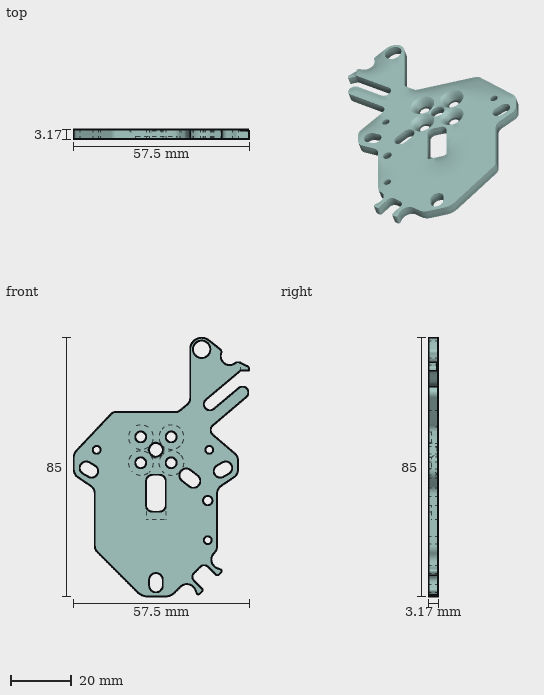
import cadquery as cq
import math


thickness = 3.17
top_z = 36.81
bottom_z = -48.2
ear_half_width = 27.0
body_half_width = 20.1
shoulder_z = 12.46
shoulder_left_x = -14.1
ear_top_z = {"left": -1.2, "right": -2.13}
ear_bottom_z = -8.1
waist_z = -12.72
lower_left_z = -32.65
bottom_left_x = -4.6
ear_radius = 3.2
waist_radius = 3.1
shoulder_radius = 2.0
lower_left_radius = 2.7
bottom_left_radius = 5.0
bottom_right_radius = 4.6
body_right_radius = 3.0

tab_hole = (15.0, 33.0)
tab_hole_diameter = 5.65
tab_radius = top_z - tab_hole[1]
tab_left_x = tab_hole[0] - tab_radius
arm_angle = 40.0
tab_slope = 38.5
tab_foot_z = 15.7
tab_foot_radius = 2.5
tab_notch_center = (24.2, 30.75)
tab_notch_radius = 2.9
notch_entry_radius = 1.2
notch_exit_radius = 1.5
beak_x = 30.55
beak_top_z = 27.2
beak_bottom_z = 26.03
beak_slope = 26.5
beak_top_radius = 0.7
beak_bottom_radius = 0.2
beak_root_radius = 0.6
arm_tip = (28.42, 18.83)
arm_half_width = 1.95
arm_slot_end = (17.72, 14.98)
arm_slot_half_width = 1.97
arm_root = (16.9, 6.48)
arm_root_radius = 2.0
beak_step_x = 27.6
beak_step_depth = 0.5

finger_origin = (13.56, -39.44)
finger_gap = 6.4
finger_length = 6.1
finger_root_radius = 1.7
finger_tip_radius = 0.6
finger_notch_radius = 3.0
finger_notch_offset = 7.83
finger_hook_angle = 25.0

center_hole_diameter = 4.45
center_countersink_depth = 0.4
bolt_pitch_x = 10.0
bolt_pitch_z = 8.5
bolt_hole_diameter = 3.5
bolt_countersink_depth = 2.3
countersink_angle = 90.0
small_hole_diameter = 2.5
small_holes = [(-19.46, 0.0), (17.5, 0.0), (17.0, -29.65)]
medium_hole = (17.0, -16.65)
medium_hole_diameter = 3.0
slots = [
    (-22.0, -6.48, 2.05, 4.2, 150.0),
    (22.0, -6.48, 2.05, 4.2, 30.0),
    (11.13, -9.3, 2.95, 4.45, 142.0),
    (0.0, -43.6, 1.85, 4.4, 90.0),
]
window_center_z = -14.25
window_width = 6.4
window_height = 12.0
window_corner_radius = 2.0
window_recess_depth = 2.2
window_recess_overhang = 2.5


def offset_point(point, distance, angle):
    """Point at a distance from another, in the direction of an angle in degrees."""
    turn = math.radians(angle)
    return (point[0] + distance * math.cos(turn), point[1] + distance * math.sin(turn))


def square_end(center, half_width, angle, first_side):
    """Two corners that round into a half circle about center, closing a strip along angle."""
    middle = offset_point(center, half_width, angle)
    return [
        (*offset_point(middle, half_width, angle + side * 90), half_width)
        for side in (first_side, -first_side)
    ]


def finger_point(along, outward):
    """Plate point from distances along (up right) and out of (down right) the diagonal edge."""
    on_edge = offset_point(finger_origin, along, 45)
    return offset_point(on_edge, outward, -45)


def finger_corners(side):
    """Corners of one finger, from its hook notch to the gap; side is 1 (upper) or -1 (lower)."""
    hook = math.radians(finger_hook_angle)
    touch_along = finger_notch_offset - finger_notch_radius * math.cos(hook)
    touch_outward = finger_notch_radius * (1 + math.sin(hook))
    flank_foot = touch_along - touch_outward * math.tan(hook)
    flank_tip = touch_along + (finger_length - touch_outward) * math.tan(hook)
    gap_side = finger_gap / 2
    return [
        (*finger_point(side * flank_foot, 0), finger_notch_radius),
        (*finger_point(side * flank_tip, finger_length), finger_tip_radius),
        (*finger_point(side * gap_side, finger_length), finger_tip_radius),
        (*finger_point(side * gap_side, 0), finger_root_radius),
    ]


def outline_corners():
    """Corners of the plate outline, clockwise from the top of the tab."""
    tab_top_angle = 90 - tab_slope
    crest = offset_point(tab_hole, tab_radius, tab_top_angle)
    tab_fall = math.tan(math.radians(tab_slope))
    crest_z = crest[1] + (crest[0] - tab_left_x) * tab_fall
    beak_fall = math.tan(math.radians(beak_slope))
    beak_line_z = beak_top_z + (beak_x - tab_left_x) * beak_fall
    valley_run = (crest_z - beak_line_z) / (tab_fall - beak_fall)
    slot_upper_side = offset_point(arm_slot_end, arm_slot_half_width, arm_angle + 90)
    arm_rise = math.tan(math.radians(arm_angle))
    beak_root_x = slot_upper_side[0] + (beak_bottom_z - slot_upper_side[1]) / arm_rise
    foot_run = (tab_foot_z - shoulder_z) / arm_rise
    diagonal_right_z = finger_origin[1] + body_half_width - finger_origin[0]
    diagonal_bottom_x = finger_origin[0] + bottom_z - finger_origin[1]
    return [
        (tab_left_x, crest_z, tab_radius),
        (tab_left_x + valley_run, crest_z - valley_run * tab_fall, 0),
        (beak_x, beak_top_z, beak_top_radius),
        (beak_x, beak_bottom_z, beak_bottom_radius),
        (beak_root_x, beak_bottom_z, beak_root_radius),
        *square_end(arm_slot_end, arm_slot_half_width, arm_angle + 180, -1),
        *square_end(arm_tip, arm_half_width, arm_angle, 1),
        (*arm_root, arm_root_radius),
        (ear_half_width, ear_top_z["right"], ear_radius),
        (ear_half_width, ear_bottom_z, ear_radius),
        (body_half_width, waist_z, waist_radius),
        (body_half_width, diagonal_right_z, body_right_radius),
        *finger_corners(1),
        *reversed(finger_corners(-1)),
        (diagonal_bottom_x, bottom_z, bottom_right_radius),
        (bottom_left_x, bottom_z, bottom_left_radius),
        (-body_half_width, lower_left_z, lower_left_radius),
        (-body_half_width, waist_z, waist_radius),
        (-ear_half_width, ear_bottom_z, ear_radius),
        (-ear_half_width, ear_top_z["left"], ear_radius),
        (shoulder_left_x, shoulder_z, shoulder_radius),
        (tab_left_x - foot_run, shoulder_z, shoulder_radius),
        (tab_left_x, tab_foot_z, tab_foot_radius),
    ]


def corner_arc(before, corner, after):
    """Start, middle and end of the arc that rounds a corner, or the corner alone if it is sharp."""
    point = cq.Vector(corner[0], corner[1])
    radius = corner[2]
    if radius == 0:
        return [point]
    to_before = (cq.Vector(before[0], before[1]) - point).normalized()
    to_after = (cq.Vector(after[0], after[1]) - point).normalized()
    half_angle = to_before.getAngle(to_after) / 2
    setback = radius / math.tan(half_angle)
    bisector = (to_before + to_after).normalized()
    middle = point + bisector * (radius / math.sin(half_angle) - radius)
    return [point + to_before * setback, middle, point + to_after * setback]


def rounded_outline(corners):
    """Closed profile through the corners, each rounded by its own radius."""
    shortest_line = 1e-4
    count = len(corners)
    arcs = [corner_arc(corners[i - 1], corners[i], corners[(i + 1) % count]) for i in range(count)]
    start = arcs[0][0]
    position = start
    profile = cq.Workplane("XZ").moveTo(start.x, start.y)
    for arc in arcs:
        if (arc[0] - position).Length > shortest_line:
            profile = profile.lineTo(arc[0].x, arc[0].y)
            position = arc[0]
        if len(arc) > 1:
            profile = profile.threePointArc((arc[1].x, arc[1].y), (arc[2].x, arc[2].y))
            position = arc[2]
    return profile.close()


def drill(body, points, diameter):
    """Round holes through the plate."""
    holes = cq.Workplane("XZ").pushPoints(points).circle(diameter / 2).extrude(-thickness)
    return body.cut(holes)


def countersink(body, points, diameter, depth):
    """Cones widening the holes toward the back face."""
    spread = depth * math.tan(math.radians(countersink_angle / 2))
    for x, z in points:
        tip = cq.Vector(x, thickness - depth, z)
        cone = cq.Solid.makeCone(diameter / 2, diameter / 2 + spread, depth, tip, cq.Vector(0, 1, 0))
        body = body.cut(cq.Workplane(obj=cone))
    return body


def cut_tab_notch(body):
    """Round notch in the tab, with both of its lips rounded."""
    body = drill(body, [tab_notch_center], 2 * tab_notch_radius)
    entry = offset_point(tab_notch_center, tab_notch_radius, 180 - tab_slope)
    exit_lip = offset_point(tab_notch_center, tab_notch_radius, -beak_slope)
    for lip, radius in ((entry, notch_entry_radius), (exit_lip, notch_exit_radius)):
        nearest = cq.selectors.NearestToPointSelector((lip[0], thickness / 2, lip[1]))
        body = body.edges("|Y").edges(nearest).fillet(radius)
    return body


def cut_beak_step(body):
    """Shallow step that thins the beak at the back."""
    length = beak_x - beak_step_x
    height = tab_notch_center[1] - beak_bottom_z
    step = cq.Workplane("XY").box(length, beak_step_depth, height, centered=False)
    return body.cut(step.translate((beak_step_x, thickness - beak_step_depth, beak_bottom_z)))


def cut_holes(body):
    bolt_holes = [
        (x_side * bolt_pitch_x / 2, z_side * bolt_pitch_z / 2)
        for x_side in (-1, 1)
        for z_side in (-1, 1)
    ]
    body = drill(body, [tab_hole], tab_hole_diameter)
    body = drill(body, [(0, 0)], center_hole_diameter)
    body = countersink(body, [(0, 0)], center_hole_diameter, center_countersink_depth)
    body = drill(body, bolt_holes, bolt_hole_diameter)
    body = countersink(body, bolt_holes, bolt_hole_diameter, bolt_countersink_depth)
    body = drill(body, small_holes, small_hole_diameter)
    return drill(body, [medium_hole], medium_hole_diameter)


def cut_slots(body):
    for x, z, spacing, width, angle in slots:
        slot = cq.Workplane("XZ").center(x, z).slot2D(spacing + width, width, angle)
        body = body.cut(slot.extrude(-thickness))
    return body


def cut_window(body):
    """Rounded window, lengthened downward by a square-cornered recess in the back face."""
    middle = cq.Workplane("XZ").center(0, window_center_z)
    window = middle.rect(window_width, window_height).extrude(-thickness)
    recess_height = window_height + window_recess_overhang - window_corner_radius
    recess_center_z = -(window_recess_overhang + window_corner_radius) / 2
    recess = middle.center(0, recess_center_z).rect(window_width, recess_height)
    recess = recess.extrude(-window_recess_depth)
    body = body.cut(window.edges("|Y").fillet(window_corner_radius))
    return body.cut(recess.translate((0, thickness - window_recess_depth, 0)))


plate = rounded_outline(outline_corners()).extrude(-thickness)
plate = cut_tab_notch(plate)
plate = cut_beak_step(plate)
plate = cut_holes(plate)
plate = cut_slots(plate)
result = cut_window(plate)